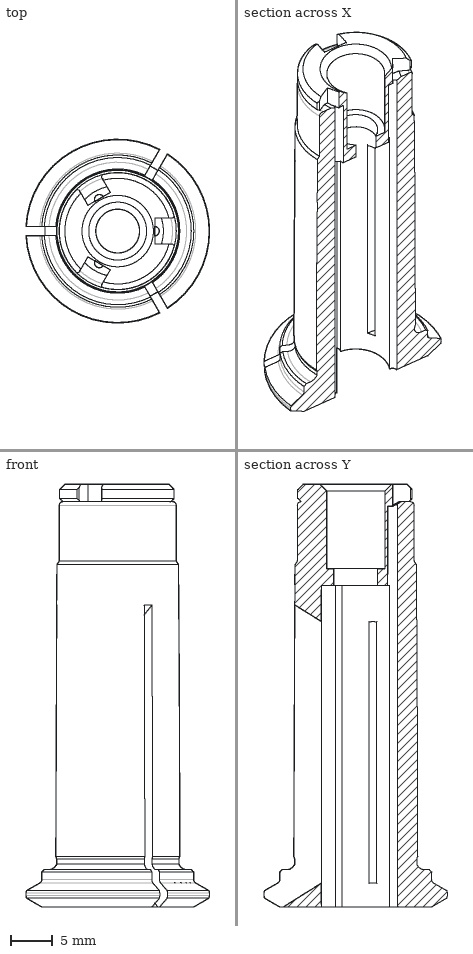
import cadquery as cq
import math

length = 50.5

flange_diameter = 21.95
flange_radius = flange_diameter / 2
bevel_angle = math.radians(30)
flange_foot_radius = 9.1
rim_mid_height = 1.5
rim_flat = 0.3
rim_round = 0.3
rim_edge_radius = 10.9

collar_radius = 9.1
collar_top = 4.5
collar_chamfer = 0.3
collar_fillet = 0.45

neck_radius = 7.3
flare_radius = 8.25
flare_top = 5.15
neck_top = 5.75
shaft_radius = 7.4
shaft_bottom = 6.05
shaft_top_radius = 7.25
shaft_top = 40.9

journal_diameter = 14.0
journal_radius = journal_diameter / 2
journal_bottom = 41.3
journal_round = 0.45
groove_height = 48.45
ring_radius = 6.95
ring_bottom = 48.8
ring_chamfer = 0.65

through_diameter = 5.2
through_radius = through_diameter / 2
counterbore_diameter = 6.9
counterbore_radius = counterbore_diameter / 2
counterbore_floor = 40.4
counterbore_chamfer = 0.8
cavity_diameter = 8.2
cavity_radius = cavity_diameter / 2
cavity_top = 38.4

slot_angles = (60, 180, 300)
slot_width = 1.05
slot_top = 36.15
slot_floor_radius = 8.7
slot_end_angle = math.radians(32)

notch_angles = (0, 120, 240)
notch_width = 3.1
notch_inner_radius = 4.45
notch_edge_chamfer = 0.25
seat_radius = 5.45
seat_angle = math.radians(30)
coolant_hole_radius = 0.55
coolant_hole_offset = 4.4

clearance = 0.5


def arc_point(center, radius, angle):
    """Point on a circle in the (radius, height) plane at an angle in radians."""
    return (center[0] + radius * math.cos(angle), center[1] + radius * math.sin(angle))


def make_body():
    """Revolve the outer outline of the part around Z."""
    rim_low = rim_mid_height - rim_flat / 2
    rim_high = rim_mid_height + rim_flat / 2

    turn = math.pi / 2 - bevel_angle
    blend_radius = collar_radius + collar_fillet
    bevel_height = rim_high + rim_round + (rim_edge_radius - blend_radius) * math.tan(bevel_angle)
    collar_bottom = bevel_height + collar_fillet / math.cos(bevel_angle)
    blend_center = (blend_radius, collar_bottom)
    blend_middle = arc_point(blend_center, collar_fillet, math.pi + turn / 2)
    blend_end = arc_point(blend_center, collar_fillet, math.pi + turn)

    flare_width = flare_radius - neck_radius
    flare_height = flare_top - collar_top
    flare_arc = (flare_width**2 + flare_height**2) / (2 * flare_height)
    flare_center = (flare_radius, collar_top + flare_arc)
    flare_turn = math.asin(flare_width / flare_arc)
    flare_middle = arc_point(flare_center, flare_arc, -(math.pi + flare_turn) / 2)

    round_center = (journal_radius - journal_round, groove_height - journal_round)
    round_middle = arc_point(round_center, journal_round, math.pi / 4)

    shaft_middle = (
        shaft_radius - (shaft_radius - shaft_top_radius) / 4,
        (shaft_bottom + shaft_top) / 2,
    )

    outline = (
        cq.Workplane("XZ")
        .moveTo(0, 0)
        .lineTo(flange_foot_radius, 0)
        .lineTo(rim_edge_radius, rim_low - rim_round)
        .lineTo(flange_radius, rim_low)
        .lineTo(flange_radius, rim_high)
        .lineTo(rim_edge_radius, rim_high + rim_round)
        .lineTo(*blend_end)
        .threePointArc(blend_middle, (collar_radius, collar_bottom))
        .lineTo(collar_radius, collar_top - collar_chamfer)
        .lineTo(collar_radius - collar_chamfer, collar_top)
        .lineTo(flare_radius, collar_top)
        .threePointArc(flare_middle, (neck_radius, flare_top))
        .lineTo(neck_radius, neck_top)
        .lineTo(shaft_radius, shaft_bottom)
        .threePointArc(shaft_middle, (shaft_top_radius, shaft_top))
        .lineTo(journal_radius, journal_bottom)
        .lineTo(journal_radius, groove_height - journal_round)
        .threePointArc(round_middle, (journal_radius - journal_round, groove_height))
        .lineTo(ring_radius, ring_bottom)
        .lineTo(ring_radius, length - ring_chamfer)
        .lineTo(ring_radius - ring_chamfer, length)
        .lineTo(0, length)
        .close()
    )
    return outline.revolve(360, (0, 0, 0), (0, 1, 0))


def make_bore():
    """Stepped bore with a chamfered mouth at the top."""
    outline = (
        cq.Workplane("XZ")
        .moveTo(0, 0)
        .lineTo(cavity_radius, 0)
        .lineTo(cavity_radius, cavity_top)
        .lineTo(through_radius, cavity_top)
        .lineTo(through_radius, counterbore_floor)
        .lineTo(counterbore_radius, counterbore_floor)
        .lineTo(counterbore_radius, length - counterbore_chamfer)
        .lineTo(counterbore_radius + counterbore_chamfer, length)
        .lineTo(0, length)
        .close()
    )
    return outline.revolve(360, (0, 0, 0), (0, 1, 0))


def make_slot():
    """Radial slot along +X whose two ends converge towards the cavity."""
    slope = math.tan(slot_end_angle)
    inner = cavity_radius / 2
    outer = flange_radius + clearance
    return (
        cq.Workplane("XZ")
        .moveTo(inner, (slot_floor_radius - inner) * slope)
        .lineTo(outer, (slot_floor_radius - outer) * slope)
        .lineTo(outer, slot_top + (outer - shaft_radius) * slope)
        .lineTo(inner, slot_top + (inner - shaft_radius) * slope)
        .close()
        .extrude(slot_width / 2, both=True)
    )


def make_notch():
    """Drive notch along +X with its conical seat and coolant hole."""
    half_width = notch_width / 2
    mouth_end = ring_radius + clearance
    mouth_start = math.sqrt(ring_radius**2 - half_width**2) - notch_edge_chamfer
    mouth_half_width = half_width + mouth_end - mouth_start
    seat_tip = groove_height - seat_radius * math.tan(seat_angle)
    plan = (
        cq.Workplane("XY", origin=(0, 0, seat_tip))
        .moveTo(notch_inner_radius, -half_width)
        .lineTo(mouth_start, -half_width)
        .lineTo(mouth_end, -mouth_half_width)
        .lineTo(mouth_end, mouth_half_width)
        .lineTo(mouth_start, half_width)
        .lineTo(notch_inner_radius, half_width)
        .close()
        .extrude(length + clearance - seat_tip)
    )
    floor_radius = 2 * ring_radius
    space_above_floor = (
        cq.Workplane("XZ")
        .moveTo(0, seat_tip)
        .lineTo(seat_radius, groove_height)
        .lineTo(floor_radius, groove_height)
        .lineTo(floor_radius, length + clearance)
        .lineTo(0, length + clearance)
        .close()
        .revolve(360, (0, 0, 0), (0, 1, 0))
    )

    hole_top = seat_tip + notch_inner_radius * math.tan(seat_angle)
    hole_axis = cq.Workplane("XY").center(coolant_hole_offset, 0)
    coolant_hole = hole_axis.circle(coolant_hole_radius).extrude(hole_top)
    hole_mouth = hole_axis.circle(coolant_hole_radius).extrude(groove_height).intersect(plan)
    return plan.intersect(space_above_floor).union(coolant_hole).union(hole_mouth)


def cut_around(body, cutter, angles):
    """Cut the same tool from the body at each angle about Z."""
    for angle in angles:
        body = body.cut(cutter.rotate((0, 0, 0), (0, 0, 1), angle))
    return body


result = make_body().cut(make_bore())
result = cut_around(result, make_slot(), slot_angles)
result = cut_around(result, make_notch(), notch_angles)